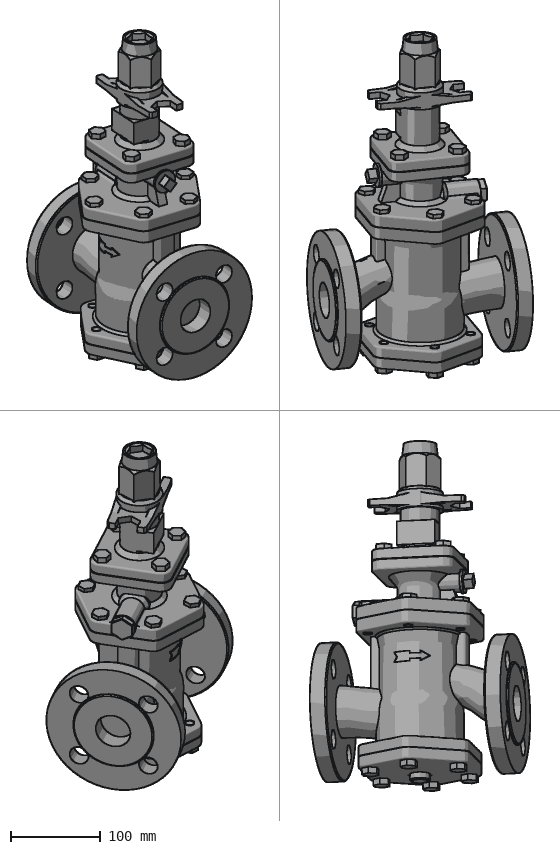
import cadquery as cq
import math


length = 222.0
flange_dia = 156.0
flange_thickness = 19.0
pipe_sink = 1.0
flange_edge = 1.5
raised_face_dia = 93.0
raised_face_edge = 1.5
raised_face_height = 2.5
flange_back_x = length / 2 - raised_face_height - flange_thickness
bore_dia = 40.0
bore_depth = raised_face_height + flange_thickness
flange_hole_dia = 21.5
flange_hole_offset = 40.0

barrel_dia = 90.5
barrel_top_dia = 95.5
base_dia = 98.0
base_top_z = -5.8
shoulder_height = 17.0
barrel_flare_height = 12.7
barrel_lip = 2.5
base_flare = 3.0
rib_reach = 54.5
rib_width = 22.5
rib_round = 3.5
rib_bottom_z = 15.5

cover_flats = 131.5
cover_bottom_z = 81.5
cover_top_z = 111.3
cover_bolt_circle = 122.5
bottom_flats = 127.0
bottom_low_z = -73.0
bottom_high_z = -46.5
bottom_bolt_circle = 116.3
hex_corner_round = 13.5
edge_round = 2.5
joint_depth = 0.5
joint_height = 0.5

bolt_flats = 17.0
cover_head_height = 4.5
bottom_head_height = 7.0
pilot_head_height = 6.0
stud_dia = 10.0
stud_rise = 0.8

drain_boss_dia = 42.0
drain_boss_low_dia = 26.0
drain_boss_height = 2.5
drain_dia = 22.5
drain_low_z = -83.5
drain_chamfer = 1.5

neck_dia = 50.5
neck_foot_dia = 61.5
neck_foot_height = 4.5
neck_flare_dia = 70.0
neck_flare_height = 14.5
neck_bend_dia = 55.5
neck_bend_height = 6.0
square_width = 94.5
square_round = 13.0
square_bottom_z = 149.5
square_top_z = 174.5
square_bolt_offset = 34.0
gasket_height = 0.8

side_pipe_dia = 28.0
side_pipe_end_x = -67.0
side_plug_end_x = -74.5
side_plug_chamfer = 0.8
side_root_dia = 36.0
side_root_x = -22.7
side_root_length = 5.8
saddle_round = 3.0
saddle_start_x = -63.0

port_z = 142.5
port_dia = 24.0
port_end_x = 47.7
port_rim_dia = 27.0
port_rim_end_x = 51.0
port_plug_diagonal = 17.0
port_plug_end_x = 61.2
web_width = 11.5
web_start_x = 19.2
web_end_x = 40.0
web_foot_x = 47.0

stem_dia = 44.0
stem_foot_dia = 55.5
stem_foot_height = 6.0
block_width = 43.5
block_reach = 22.5
block_bottom_z = 183.0
block_top_z = 210.0

collar_dia = 52.0
collar_bottom_z = 225.2
collar_edge_z = 245.2
collar_top_z = 249.5
collar_top_dia = 44.5
handle_length = 110.0
handle_width = 50.0
handle_end_width = 45.5
handle_corner = 2.7
handle_bottom_z = 229.0
handle_thickness = 7.5
jaw_width = 25.5
jaw_depth = 12.7
stiffener_inner_y = 16.0
stiffener_half_length = 32.0
stiffener_root_x = 6.5
stiffener_top_z = 241.5
stiffener_bottom_z = 227.5
nut_flats = 41.2
nut_chamfer_height = 4.0
cone_bottom_z = 287.5
cone_bottom_dia = 40.0
cone_top_dia = 37.0
top_z = 301.5
socket_flats = 25.5
socket_depth = 9.5
socket_mouth_dia = 32.5
socket_mouth_depth = 2.0

arrow_z = 50.0
arrow_half_length = 20.5
arrow_rise = 0.8


def across_corners(flats):
    """Corner-to-corner size of a regular hexagon from its flat-to-flat size."""
    return flats / math.cos(math.pi / 6)


def cylinder(dia, z_low, z_high):
    return cq.Workplane("XY").workplane(offset=z_low).circle(dia / 2).extrude(z_high - z_low)


def cone(low_dia, high_dia, z_low, z_high):
    profile = [(0, z_low), (low_dia / 2, z_low), (high_dia / 2, z_high), (0, z_high)]
    return cq.Workplane("XZ").polyline(profile).close().revolve(360, (0, 0, 0), (0, 1, 0))


def hexagon(flats, z_low, z_high, turn=0.0):
    """Hexagonal prism with corners on the X axis, turned about Z by an angle in degrees."""
    prism = cq.Workplane("XY").workplane(offset=z_low).polygon(6, across_corners(flats))
    return prism.extrude(z_high - z_low).rotate((0, 0, 0), (0, 0, 1), turn)


def x_cylinder(dia, x_low, x_high, z=0.0):
    return cq.Workplane("YZ", origin=(x_low, 0, z)).circle(dia / 2).extrude(x_high - x_low)


def at_points(shape, points):
    """Copies of a shape at a list of plan positions."""
    copies = cq.Workplane("XY")
    for x, y in points:
        copies = copies.add(shape.translate((x, y, 0)))
    return copies.combine()


def bolt_ring(circle_dia):
    """Six bolt positions, one of them on the Y axis."""
    angles = [math.radians(30 + 60 * i) for i in range(6)]
    return [(circle_dia / 2 * math.cos(a), circle_dia / 2 * math.sin(a)) for a in angles]


def hexagonal_flange(flats, z_low, z_high):
    """Rounded hexagonal flange pair with corners on the Y axis and a fine joint groove at mid height."""
    def slab(size, corner_round, low, high):
        return hexagon(size, low, high, 30).edges("|Z").fillet(corner_round)

    joint_z = (z_low + z_high) / 2
    joint_low = joint_z - joint_height / 2
    joint_high = joint_z + joint_height / 2
    lower = slab(flats, hex_corner_round, z_low, joint_low).faces("<Z").edges().fillet(edge_round)
    upper = slab(flats, hex_corner_round, joint_high, z_high).faces(">Z").edges().fillet(edge_round)
    core = slab(flats - 2 * joint_depth, hex_corner_round - joint_depth, joint_low, joint_high)
    return lower.union(core).union(upper)


def square_flange():
    """Square flange pair with a thin recessed gasket at mid height."""
    def slab(width, corner_round, low, high):
        plate = cq.Workplane("XY").workplane(offset=low).rect(width, width).extrude(high - low)
        return plate.edges("|Z").fillet(corner_round)

    gasket_z = (square_bottom_z + square_top_z) / 2
    gasket_low = gasket_z - gasket_height / 2
    gasket_high = gasket_z + gasket_height / 2
    lower = slab(square_width, square_round, square_bottom_z, gasket_low)
    lower = lower.faces("<Z").edges().fillet(edge_round)
    upper = slab(square_width, square_round, gasket_high, square_top_z)
    upper = upper.faces(">Z").edges().fillet(edge_round)
    gasket = slab(square_width - 2 * joint_depth, square_round - joint_depth, gasket_low, gasket_high)
    return lower.union(gasket).union(upper)


def pipe_flange():
    """Pipe flange with its raised face towards +X."""
    front_x = length / 2 - raised_face_height
    disc = x_cylinder(flange_dia, flange_back_x, front_x).faces("<X").edges().chamfer(flange_edge)
    holes = (
        cq.Workplane("YZ", origin=(flange_back_x, 0, 0))
        .rect(2 * flange_hole_offset, 2 * flange_hole_offset, forConstruction=True)
        .vertices()
        .circle(flange_hole_dia / 2)
        .extrude(flange_thickness)
    )
    raised_face = x_cylinder(raised_face_dia, front_x, length / 2).faces(">X").chamfer(raised_face_edge)
    return disc.cut(holes).union(raised_face)


def lofted_pipe(sections):
    """Smooth pipe through elliptical sections given as (x, centre z, half width, half height)."""
    pipe = cq.Workplane("YZ")
    previous_x = 0.0
    previous_z = 0.0
    for x, z, half_width, half_height in sections:
        pipe = pipe.workplane(offset=x - previous_x).center(0, z - previous_z)
        pipe = pipe.ellipse(half_width, half_height)
        previous_x = x
        previous_z = z
    return pipe.loft()


def inlet():
    """Pipe and flange at the -X end."""
    sections = [
        (-flange_back_x - pipe_sink, 0, 31.5, 31.5),
        (-86.2, 0, 29.0, 29.3),
        (-56.0, -3.0, 28.5, 28.5),
        (-23, -9.2, 27.7, 27.7),
    ]
    return lofted_pipe(sections).union(pipe_flange().rotate((0, 0, 0), (0, 0, 1), 180))


def outlet():
    """Pipe and flange at the +X end; the pipe rises towards the barrel."""
    sections = [
        (flange_back_x + pipe_sink, 4.5, 24.5, 29.5),
        (69.3, 14.0, 22.7, 28.0),
        (54, 22.0, 22.7, 24.5),
        (23, 29.3, 22.7, 22.7),
    ]
    return lofted_pipe(sections).union(pipe_flange())


def bores():
    """Blind bores entering both pipe flanges along X."""
    outlet_bore = x_cylinder(bore_dia, length / 2 - bore_depth, length / 2)
    return outlet_bore.union(x_cylinder(bore_dia, -length / 2, bore_depth - length / 2))


def barrel():
    """Turned body between the two hexagonal flanges, with an S-shaped shoulder and a flared top."""
    barrel_r = barrel_dia / 2
    base_r = base_dia / 2
    shoulder_z = base_top_z + shoulder_height
    bend_share = 2 / 3
    bend_r = base_r + (barrel_r - base_r) * bend_share
    bend_z = base_top_z + shoulder_height * bend_share
    lip_r = barrel_top_dia / 2
    profile = (
        cq.Workplane("XZ")
        .moveTo(0, bottom_high_z)
        .lineTo(base_r + base_flare, bottom_high_z)
        .lineTo(base_r, bottom_high_z + base_flare)
        .lineTo(base_r, base_top_z)
        .tangentArcPoint((bend_r, bend_z), relative=False)
        .tangentArcPoint((barrel_r, shoulder_z), relative=False)
        .lineTo(barrel_r, cover_bottom_z - barrel_lip - barrel_flare_height)
        .lineTo(lip_r, cover_bottom_z - barrel_lip)
        .lineTo(lip_r + barrel_lip, cover_bottom_z)
        .lineTo(0, cover_bottom_z)
        .close()
    )
    return profile.revolve(360, (0, 0, 0), (0, 1, 0))


def barrel_ribs():
    """Upright ribs on the -X and +X sides of the barrel, running up to the cover."""
    height = cover_bottom_z - rib_bottom_z
    bar = cq.Workplane("XY").workplane(offset=rib_bottom_z).rect(2 * rib_reach, rib_width).extrude(height)
    return bar.edges("|Z").fillet(rib_round)


def flow_arrow():
    """Raised arrow pointing to +X on the front of the barrel."""
    wide = 5.8
    narrow = 3.0
    notch = 3.5
    shaft_start = -1.5
    head_start = 10.5
    upper = [(shaft_start, wide), (shaft_start, narrow), (head_start, narrow), (head_start, wide)]
    lower = [(x, -y) for x, y in reversed(upper)]
    tail = [(-arrow_half_length, -wide), (notch - arrow_half_length, 0), (-arrow_half_length, wide)]
    outline = tail + upper + [(arrow_half_length, 0)] + lower
    prism = cq.Workplane("XZ", origin=(0, 0, arrow_z)).polyline(outline).close().extrude(barrel_dia)
    return prism.intersect(cylinder(barrel_dia + 2 * arrow_rise, rib_bottom_z, cover_bottom_z))


def hexagonal_flanges_with_bolts():
    cover_bolts = bolt_ring(cover_bolt_circle)
    bottom_bolts = bolt_ring(bottom_bolt_circle)
    cover_heads = hexagon(bolt_flats, cover_top_z, cover_top_z + cover_head_height)
    bottom_heads = hexagon(bolt_flats, bottom_low_z - bottom_head_height, bottom_low_z, 30)
    cover_studs = cylinder(stud_dia, cover_bottom_z - stud_rise, cover_bottom_z)
    bottom_studs = cylinder(stud_dia, bottom_high_z, bottom_high_z + stud_rise)
    return (
        hexagonal_flange(cover_flats, cover_bottom_z, cover_top_z)
        .union(hexagonal_flange(bottom_flats, bottom_low_z, bottom_high_z))
        .union(at_points(cover_heads, cover_bolts))
        .union(at_points(cover_studs, cover_bolts))
        .union(at_points(bottom_heads, bottom_bolts))
        .union(at_points(bottom_studs, bottom_bolts))
    )


def drain_plug():
    boss = cone(drain_boss_low_dia, drain_boss_dia, bottom_low_z - drain_boss_height, bottom_low_z)
    plug = cylinder(drain_dia, drain_low_z, bottom_low_z)
    return boss.union(plug.faces("<Z").chamfer(drain_chamfer))


def neck():
    """Neck from the cover up to the square flange, with a conical foot and a flare on top."""
    neck_r = neck_dia / 2
    flare_start_z = square_bottom_z - neck_flare_height
    profile = (
        cq.Workplane("XZ")
        .moveTo(0, cover_top_z)
        .lineTo(neck_foot_dia / 2, cover_top_z)
        .lineTo(neck_r, cover_top_z + neck_foot_height)
        .lineTo(neck_r, flare_start_z)
        .tangentArcPoint((neck_bend_dia / 2, flare_start_z + neck_bend_height), relative=False)
        .lineTo(neck_flare_dia / 2, square_bottom_z)
        .lineTo(0, square_bottom_z)
        .close()
    )
    return profile.revolve(360, (0, 0, 0), (0, 1, 0))


def square_flange_bolts():
    head = hexagon(bolt_flats, square_top_z, square_top_z + pilot_head_height, 45)
    points = [(x * square_bolt_offset, y * square_bolt_offset) for x in (-1, 1) for y in (-1, 1)]
    return at_points(head, points)


def side_pipe():
    """Pipe lying in the cover top, blended into cover and neck, with a hexagonal plug on its end."""
    pipe = x_cylinder(side_pipe_dia, side_pipe_end_x, 0, cover_top_z)
    pipe = pipe.rotate((0, 0, cover_top_z), (1, 0, cover_top_z), 45)
    plug = (
        cq.Workplane("YZ", origin=(side_plug_end_x, 0, cover_top_z))
        .transformed(rotate=(0, 0, 90))
        .polygon(6, side_pipe_dia)
        .extrude(side_pipe_end_x - side_plug_end_x)
        .faces("<X")
        .chamfer(side_plug_chamfer)
    )
    pipe_r = side_pipe_dia / 2
    root_profile = [
        (side_root_x - side_root_length, 0),
        (side_root_x - side_root_length, pipe_r),
        (side_root_x, side_root_dia / 2),
        (0, side_root_dia / 2),
        (0, 0),
    ]
    root = (
        cq.Workplane("XZ", origin=(0, 0, cover_top_z))
        .polyline(root_profile)
        .close()
        .revolve(360, (0, 0, 0), (1, 0, 0))
        .rotate((0, 0, cover_top_z), (1, 0, cover_top_z), 45)
    )
    half_foot = pipe_r + saddle_round
    inner = saddle_round * (1 - math.sqrt(0.5))
    saddle = (
        cq.Workplane("YZ", origin=(saddle_start_x, 0, cover_top_z))
        .moveTo(-half_foot, 0)
        .threePointArc((-pipe_r - inner, inner), (-pipe_r, saddle_round))
        .lineTo(pipe_r, saddle_round)
        .threePointArc((pipe_r + inner, inner), (half_foot, 0))
        .close()
        .extrude(-saddle_start_x)
    )
    return pipe.union(root).union(saddle).union(plug)


def pilot_port():
    """Port on the neck with a rim, a square plug standing on its corner and a web down to the cover."""
    port = x_cylinder(port_dia, 0, port_end_x, port_z)
    rim = x_cylinder(port_rim_dia, port_end_x, port_rim_end_x, port_z)
    plug = (
        cq.Workplane("YZ", origin=(port_rim_end_x, 0, port_z))
        .polygon(4, port_plug_diagonal)
        .extrude(port_plug_end_x - port_rim_end_x)
    )
    web = (
        cq.Workplane("XZ", origin=(0, web_width / 2, 0))
        .moveTo(web_start_x, cover_top_z)
        .lineTo(web_foot_x, cover_top_z)
        .lineTo(web_end_x, port_z - port_dia / 2)
        .lineTo(web_end_x, port_z)
        .lineTo(web_start_x, port_z)
        .close()
        .extrude(web_width)
    )
    return port.union(rim).union(plug).union(web)


def stem():
    """Round stem with a conical foot and a flat block on its -Y half."""
    shaft = cylinder(stem_dia, square_top_z, collar_bottom_z)
    foot = cone(stem_foot_dia, stem_dia, square_top_z, square_top_z + stem_foot_height)
    block = (
        cq.Workplane("XY", origin=(0, -block_reach / 2, block_bottom_z))
        .rect(block_width, block_reach)
        .extrude(block_top_z - block_bottom_z)
    )
    return shaft.union(foot).union(block)


def lock_handle():
    """Two-ended handle plate with spanner jaws and tapered stiffeners along both long edges."""
    end_x = handle_length / 2
    end_y = handle_end_width / 2
    middle_y = handle_width / 2
    quarter = [
        (end_x, end_y - handle_corner),
        (end_x - handle_corner, end_y),
        (stiffener_root_x, middle_y),
    ]
    right_half = [(x, -y) for x, y in quarter[::-1]] + quarter
    left_half = [(-x, -y) for x, y in right_half]
    outline = cq.Workplane("XY", origin=(0, 0, stiffener_bottom_z)).polyline(right_half + left_half).close()
    envelope = outline.extrude(stiffener_top_z - stiffener_bottom_z)

    plate = (
        cq.Workplane("XY", origin=(0, 0, handle_bottom_z))
        .rect(handle_length, handle_width)
        .extrude(handle_thickness)
    )
    handle_top_z = handle_bottom_z + handle_thickness
    stiffener_outline = [
        (stiffener_root_x, stiffener_bottom_z),
        (stiffener_half_length, handle_bottom_z),
        (stiffener_half_length, handle_top_z),
        (stiffener_root_x, stiffener_top_z),
    ]
    stiffener_width = middle_y - stiffener_inner_y
    for side in (-1, 1):
        outline = [(side * x, z) for x, z in stiffener_outline]
        for edge_y in (middle_y, -stiffener_inner_y):
            stiffener = cq.Workplane("XZ", origin=(0, edge_y, 0)).polyline(outline).close()
            plate = plate.union(stiffener.extrude(stiffener_width))
    plate = plate.intersect(envelope)

    jaw_x = end_x - jaw_depth
    apex_x = jaw_x - jaw_width / 2 * math.tan(math.pi / 6)
    half_jaw = jaw_width / 2
    jaw_outline = [(end_x, -half_jaw), (jaw_x, -half_jaw), (apex_x, 0), (jaw_x, half_jaw), (end_x, half_jaw)]
    for side in (-1, 1):
        outline = [(side * x, y) for x, y in jaw_outline]
        jaw = cq.Workplane("XY", origin=(0, 0, handle_bottom_z)).polyline(outline).close()
        plate = plate.cut(jaw.extrude(handle_thickness))

    gap = (
        cq.Workplane("XY", origin=(0, 0, handle_bottom_z))
        .rect(2 * stiffener_root_x, handle_width)
        .extrude(handle_thickness)
    )
    return plate.cut(gap)


def adjusting_cap():
    """Collar, hexagon nut and coned tip with a hexagonal socket."""
    collar = cylinder(collar_dia, collar_bottom_z, collar_edge_z)
    shoulder = cone(collar_dia, collar_top_dia, collar_edge_z, collar_top_z)
    nut = hexagon(nut_flats, collar_edge_z, cone_bottom_z)
    nut_corner_dia = across_corners(nut_flats)
    chamfer_z = cone_bottom_z - nut_chamfer_height
    nut_turned = cylinder(nut_corner_dia, collar_edge_z, chamfer_z)
    nut_turned = nut_turned.union(cone(nut_corner_dia, cone_bottom_dia, chamfer_z, cone_bottom_z))
    tip = cone(cone_bottom_dia, cone_top_dia, cone_bottom_z, top_z)
    socket = hexagon(socket_flats, top_z - socket_depth, top_z)
    mouth = cone(socket_flats, socket_mouth_dia, top_z - socket_mouth_depth, top_z)
    return collar.union(shoulder).union(nut.intersect(nut_turned)).union(tip.cut(socket).cut(mouth))


result = barrel().union(barrel_ribs()).union(inlet()).union(outlet()).cut(bores())
result = result.union(flow_arrow()).union(hexagonal_flanges_with_bolts()).union(drain_plug())

for feature in (neck, square_flange, square_flange_bolts, side_pipe, pilot_port, stem, lock_handle, adjusting_cap):
    result = result.union(feature())